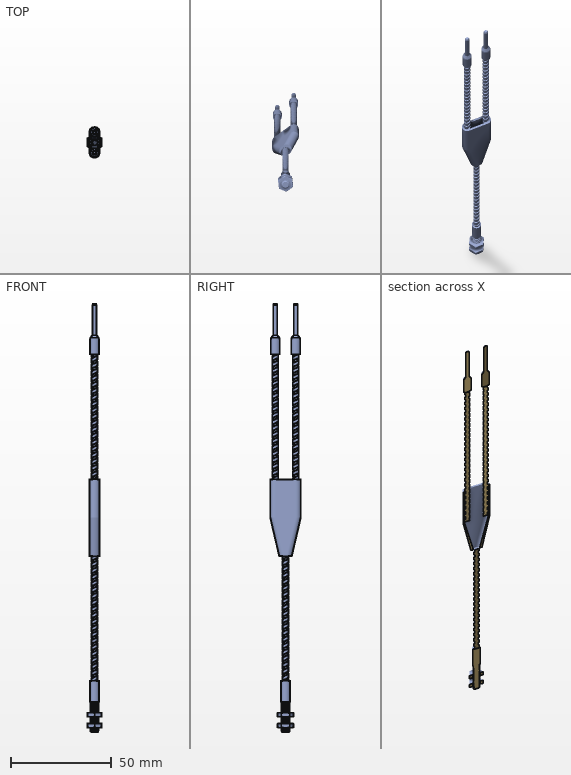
import cadquery as cq
import math

total_height = 212.81
thread_length = 15.0
sleeve_top = 25.45
cable_length = 62.0
yoke_height = 38.1
ferrule_height = 9.5

yoke_bottom = sleeve_top + cable_length
yoke_top = yoke_bottom + yoke_height
ferrule_bottom = yoke_top + cable_length
ferrule_top = ferrule_bottom + ferrule_height

yoke_thickness = 5.08
yoke_width = 3 * yoke_thickness
yoke_straight_height = yoke_height / 2
yoke_foot_width = 1.25 * yoke_thickness
yoke_shoulder = yoke_top - yoke_straight_height
cavity_foot_reach = 0.01
leg_offset = (yoke_width - yoke_thickness) / 2

cable_diameter = 3.1
groove_pitch = 3.175
groove_width = 1.25
groove_depth = 0.45
trunk_groove_angle = 150
leg_groove_angle = 320
rod_overhang = groove_pitch
groove_end_inset = 1.5

ferrule_diameter = 4.5
ferrule_rim_diameter = 4.2
ferrule_rim_drop = 0.6
ferrule_nose_drop = 1.3
tip_diameter = 2.2
tip_chamfer = 0.4
tip_chamfer_height = 0.9

sleeve_diameter = 4.5
thread_diameter = 4.0
thread_pitch = 0.7
thread_depth = 0.43
thread_angle = 60
thread_relief = 0.3
thread_start_angle = 75
thread_end_chamfer = 0.5

cutter_clearance = 0.05

nut_across_flats = 7.0
nut_chamfer_angle = 30
nut_thickness = 2.2
nut_undersides = [2.1, 7.5]


def helical_cutter(profile_points, radius, pitch, height):
    """Sweep a closed (outward, along Z) profile up a right-handed helix."""
    path = cq.Workplane(obj=cq.Wire.makeHelix(pitch, height, radius))
    profile = cq.Workplane("XZ", origin=(radius, 0, 0)).polyline(profile_points).close()
    return profile.sweep(path, isFrenet=True)


def make_cable(length):
    """Armoured cable length standing on the XY plane, its helical groove running out at both ends.

    The groove is cut into an over-long rod, which is then trimmed to length.
    """
    half = groove_width / 2
    section = [
        (-groove_depth, -half),
        (cutter_clearance, -half),
        (cutter_clearance, half),
        (-groove_depth, half),
    ]
    groove_length = length + 2 * (rod_overhang - groove_end_inset)
    groove = helical_cutter(section, cable_diameter / 2, groove_pitch, groove_length)
    rod = (
        cq.Workplane("XY", origin=(0, 0, -rod_overhang))
        .circle(cable_diameter / 2)
        .extrude(length + 2 * rod_overhang)
        .cut(groove.translate((0, 0, groove_end_inset - rod_overhang)))
    )
    trim = cq.Workplane("XY").circle(cable_diameter).extrude(length)
    return rod.intersect(trim)


def place_cable(cable, y, bottom, groove_angle):
    """Turn a cable length about its own axis and stand it at its place."""
    return cable.rotate((0, 0, 0), (0, 0, 1), groove_angle).translate((0, y, bottom))


def stadium(reach, radius, z):
    """Wire at height z with round ends of the given radius centred at Y = +-reach."""
    return (
        cq.Workplane("XY", origin=(0, 0, z))
        .moveTo(-radius, -reach)
        .threePointArc((0, -reach - radius), (radius, -reach))
        .lineTo(radius, reach)
        .threePointArc((0, reach + radius), (-radius, reach))
        .close()
        .val()
    )


def round_sided_block(foot, radius):
    """Block with rounded sides: straight above the shoulder, tapering to the foot wire below."""
    shoulder = stadium(leg_offset, radius, yoke_shoulder)
    top = stadium(leg_offset, radius, yoke_top)
    straight = cq.Workplane(cq.Solid.makeLoft([shoulder, top], True))
    taper = cq.Workplane(cq.Solid.makeLoft([foot, shoulder], True))
    return straight.union(taper)


def make_yoke():
    """Open-topped shell whose cavity takes both leg cables and narrows to the trunk cable."""
    outer_radius = yoke_thickness / 2
    inner_radius = cable_diameter / 2
    outer_foot = stadium(yoke_foot_width / 2 - outer_radius, outer_radius, yoke_bottom)
    inner_foot = stadium(cavity_foot_reach, inner_radius, yoke_bottom)
    body = round_sided_block(outer_foot, outer_radius)
    return body.cut(round_sided_block(inner_foot, inner_radius))


def make_ferrule(y):
    """Crimp ferrule with a conical nose and a slim bare tip."""
    body_r = ferrule_diameter / 2
    tip_r = tip_diameter / 2
    rim_z = ferrule_top - ferrule_nose_drop
    outline = [
        (0, ferrule_bottom),
        (body_r, ferrule_bottom),
        (body_r, rim_z - ferrule_rim_drop),
        (ferrule_rim_diameter / 2, rim_z),
        (tip_r, ferrule_top),
        (tip_r, total_height - tip_chamfer_height),
        (tip_r - tip_chamfer, total_height),
        (0, total_height),
    ]
    ferrule = cq.Workplane("XZ").polyline(outline).close().revolve(360, (0, 0), (0, 1))
    return ferrule.rotate((0, 0, 0), (0, 0, 1), 180).translate((0, y, 0))


def make_connector():
    """Sleeve above a threaded stud, with a chamfered lower end."""
    sleeve = (
        cq.Workplane("XY", origin=(0, 0, thread_length))
        .circle(sleeve_diameter / 2)
        .extrude(sleeve_top - thread_length)
        .rotate((0, 0, 0), (0, 0, 1), -90)
    )
    stud = (
        cq.Workplane("XY")
        .circle(thread_diameter / 2)
        .extrude(thread_length)
        .faces("<Z")
        .chamfer(thread_end_chamfer)
    )
    flank_slope = math.tan(math.radians(thread_angle / 2))
    open_half = (thread_depth + cutter_clearance) * flank_slope
    section = [(-thread_depth, 0), (cutter_clearance, -open_half), (cutter_clearance, open_half)]
    cutter = helical_cutter(
        section, thread_diameter / 2, thread_pitch, thread_length - thread_relief + thread_pitch
    ).translate((0, 0, -thread_pitch))
    stud = stud.cut(cutter).rotate((0, 0, 0), (0, 0, 1), thread_start_angle)
    return stud.union(sleeve)


def make_nut(underside):
    """Hex nut with flats facing +-X and its corners chamfered at both ends."""
    across_corners = nut_across_flats / math.cos(math.radians(30))
    prism = (
        cq.Workplane("XY")
        .polygon(6, across_corners)
        .extrude(nut_thickness)
        .rotate((0, 0, 0), (0, 0, 1), 30)
    )
    flat_r = nut_across_flats / 2
    corner_r = across_corners / 2
    drop = (corner_r - flat_r) * math.tan(math.radians(nut_chamfer_angle))
    envelope = (
        cq.Workplane("XZ")
        .polyline(
            [
                (0, 0),
                (flat_r, 0),
                (corner_r, drop),
                (corner_r, nut_thickness - drop),
                (flat_r, nut_thickness),
                (0, nut_thickness),
            ]
        )
        .close()
        .revolve(360, (0, 0), (0, 1))
    )
    nut = prism.intersect(envelope).faces(">Z").workplane().hole(thread_diameter)
    return nut.translate((0, 0, underside))


yoke = make_yoke()
connector = make_connector()
trunk_cable = place_cable(make_cable(cable_length), 0, sleeve_top, trunk_groove_angle)
leg_cable = make_cable(cable_length + yoke_straight_height)
leg_cables = [place_cable(leg_cable, y, yoke_shoulder, leg_groove_angle) for y in (-leg_offset, leg_offset)]
ferrules = [make_ferrule(y) for y in (-leg_offset, leg_offset)]
hex_nuts = [make_nut(underside) for underside in nut_undersides]

bodies = [yoke, connector, trunk_cable, *leg_cables, *ferrules, *hex_nuts]
result = cq.Compound.makeCompound([body.val() for body in bodies])